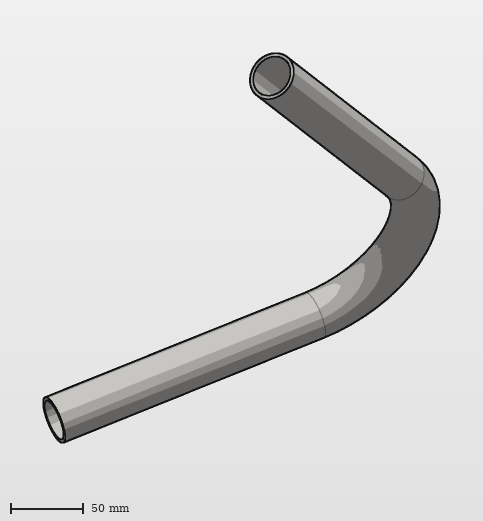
import cadquery as cq
import math

overall_height = 315.5
outer_diameter = 33.8
wall = 2.6
bend_radius = 78.0
bend_angle = 120.0

outer_radius = outer_diameter / 2
inner_radius = outer_radius - wall
turn = math.radians(bend_angle)

bend_rise = bend_radius * (1 - math.cos(turn))
end_rim_rise = outer_radius * abs(math.cos(turn))
leg_length = (overall_height - outer_radius - bend_rise - end_rim_rise) / math.sin(turn)


def bend_point(angle):
    """Centreline point (Y, Z) after turning by angle; the bend starts at the origin."""
    return bend_radius * math.sin(angle), bend_radius * (1 - math.cos(angle))


bend_end_y, bend_end_z = bend_point(turn)
tip = (bend_end_y + leg_length * math.cos(turn), bend_end_z + leg_length * math.sin(turn))
centreline = (
    cq.Workplane("YZ")
    .moveTo(-leg_length, 0)
    .lineTo(0, 0)
    .threePointArc(bend_point(turn / 2), (bend_end_y, bend_end_z))
    .lineTo(*tip)
)

result = (
    cq.Workplane("XZ", origin=(0, -leg_length, 0))
    .circle(outer_radius)
    .circle(inner_radius)
    .sweep(centreline)
)